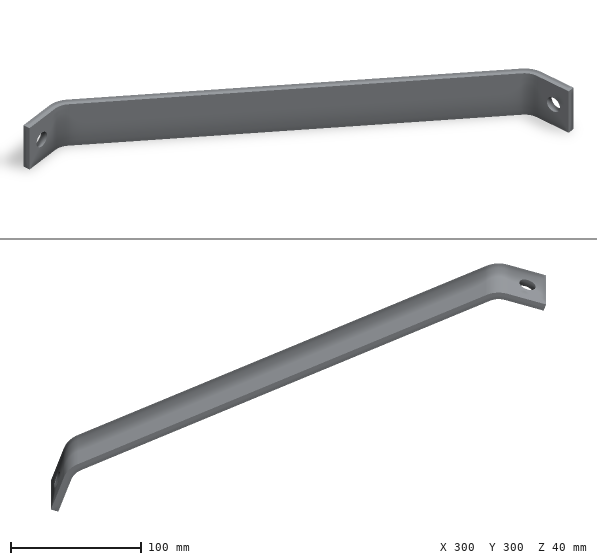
import cadquery as cq
import math

SPAN = 300.0
WIDTH = 40.0
THICKNESS = 6.0
INNER_BEND_RADIUS = 15.0
TAB_LENGTH = 40.0
HOLE_DIAMETER = 13.0
HOLE_END_DISTANCE = 15.0
BEND_ANGLE = math.radians(45)

OUTER_BEND_RADIUS = INNER_BEND_RADIUS + THICKNESS
TAB_FLAT = TAB_LENGTH - OUTER_BEND_RADIUS * math.tan(BEND_ANGLE / 2)


def bend_point(radius, angle):
    """Point of the lower bend, turned by angle from the end of the tab flat."""
    x = OUTER_BEND_RADIUS - radius * math.cos(angle)
    y = TAB_FLAT + radius * math.sin(angle)
    return (x, y)


def mirrored(point):
    """Matching point at the other end of the strip, which is symmetric about x + y = SPAN."""
    x, y = point
    return (SPAN - y, SPAN - x)


def bent_strip():
    """Flat bar with a 45 degree bend at each end."""
    outer_start, outer_mid, outer_end = [
        bend_point(OUTER_BEND_RADIUS, a) for a in (0, BEND_ANGLE / 2, BEND_ANGLE)
    ]
    inner_start, inner_mid, inner_end = [
        bend_point(INNER_BEND_RADIUS, a) for a in (0, BEND_ANGLE / 2, BEND_ANGLE)
    ]
    outer_tip = (0, 0)
    inner_tip = (THICKNESS, 0)
    return (
        cq.Workplane("XY")
        .moveTo(*outer_tip)
        .lineTo(*outer_start)
        .threePointArc(outer_mid, outer_end)
        .lineTo(*mirrored(outer_end))
        .threePointArc(mirrored(outer_mid), mirrored(outer_start))
        .lineTo(*mirrored(outer_tip))
        .lineTo(*mirrored(inner_tip))
        .lineTo(*mirrored(inner_start))
        .threePointArc(mirrored(inner_mid), mirrored(inner_end))
        .lineTo(*inner_end)
        .threePointArc(inner_mid, inner_start)
        .lineTo(*inner_tip)
        .close()
        .extrude(WIDTH)
    )


def tab_hole(center, direction):
    """Cylinder that cuts the mounting hole through one tab."""
    return cq.Workplane(
        cq.Solid.makeCylinder(
            HOLE_DIAMETER / 2, THICKNESS, cq.Vector(*center), cq.Vector(*direction)
        )
    )


lower_hole = tab_hole((0, HOLE_END_DISTANCE, WIDTH / 2), (1, 0, 0))
upper_hole = tab_hole((SPAN - HOLE_END_DISTANCE, SPAN, WIDTH / 2), (0, -1, 0))

result = bent_strip().cut(lower_hole).cut(upper_hole)